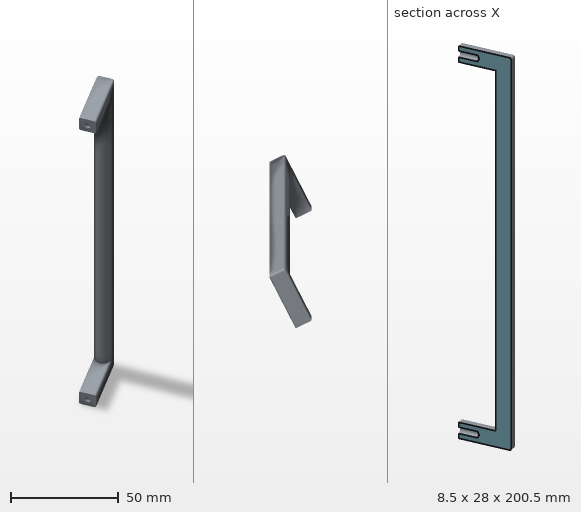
import cadquery as cq
import math

length = 200.5
depth = 28.0
width = 8.5
edge_radius = 1.0
hole_diameter = 3.0
hole_depth = 10.0
drill_point_angle = 118.0

half_width = width / 2
front_y = -depth / 2
back_y = depth / 2
grip_axis_y = back_y - half_width
leg_center_z = (length - width) / 2


def make_leg(center_z):
    """Square leg with the two long edges on its inner side rounded."""
    leg = cq.Workplane("XY").box(width, depth, width)
    inner_side = "<Z" if center_z > 0 else ">Z"
    leg = leg.edges(f"|Y and {inner_side}").fillet(edge_radius)
    return leg.translate((0, 0, center_z))


def make_grip():
    """Bar with a flat back and a half-round inner side, ending flush with the legs."""
    return (
        cq.Workplane("XY")
        .workplane(offset=-length / 2)
        .moveTo(-half_width, grip_axis_y)
        .threePointArc((0, grip_axis_y - half_width), (half_width, grip_axis_y))
        .lineTo(half_width, back_y)
        .lineTo(-half_width, back_y)
        .close()
        .extrude(length)
    )


def make_screw_hole(center_z):
    """Blind hole with a conical drill point, as a solid to cut."""
    radius = hole_diameter / 2
    point_depth = radius / math.tan(math.radians(drill_point_angle / 2))
    half_section = [
        (0, front_y),
        (radius, front_y),
        (radius, front_y + hole_depth),
        (0, front_y + hole_depth + point_depth),
    ]
    hole = cq.Workplane("XY").polyline(half_section).close().revolve(360, (0, 0, 0), (0, 1, 0))
    return hole.translate((0, 0, center_z))


def make_rounded_envelope():
    """Overall block with its long leg edges and all back edges rounded."""
    block = cq.Workplane("XY").box(width, depth, length)
    return block.edges("|Y or >Y").fillet(edge_radius)


handle = make_grip()
for center_z in (-leg_center_z, leg_center_z):
    handle = handle.union(make_leg(center_z))
handle = handle.intersect(make_rounded_envelope())
for center_z in (-leg_center_z, leg_center_z):
    handle = handle.cut(make_screw_hole(center_z))

result = handle